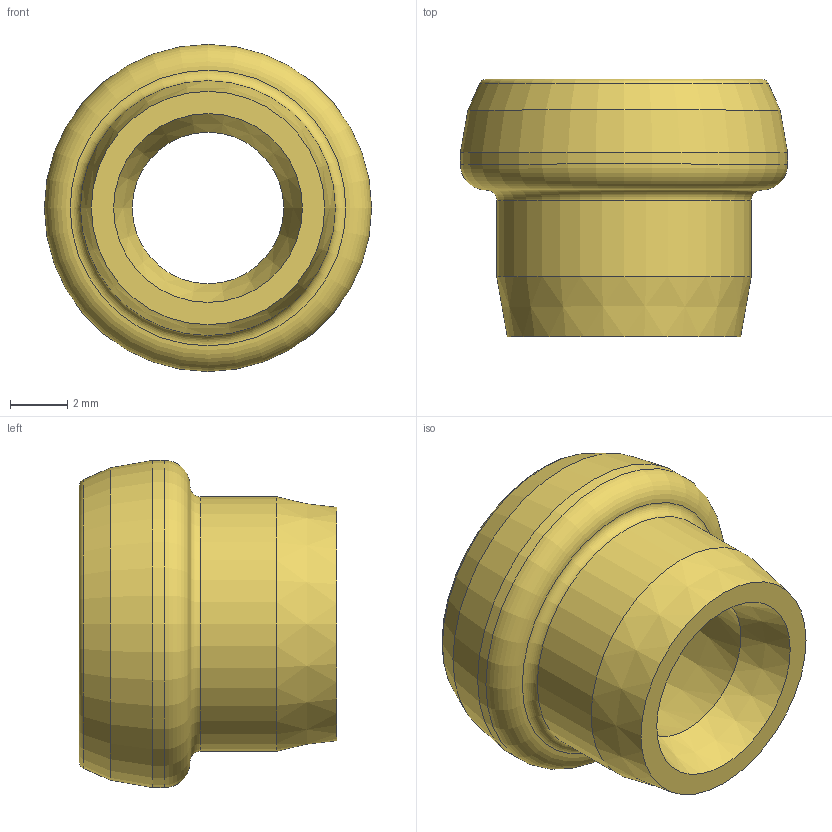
import cadquery as cq
import math


length = 9.0
flange_radius = 11.44 / 2

spigot_radius = 8.9 / 2
tip_taper_length = 2.1
tip_taper_angle = 10.0

shoulder_radius = 9.64 / 2
shoulder_position = 5.13
rim_width = 0.41
root_mid_angle = 135.0
rim_mid_angle = -45.0

first_taper_length = 1.48
first_taper_angle = 10.0
second_taper_angle = 24.0
back_edge_fillet = 0.25

throat_radius = 5.3 / 2
inlet_radius = 6.6 / 2
inlet_half_angle = 20.0
sealing_cone_radius = 8.3 / 2


def taper(axial_length, angle):
    """Change of radius along a cone of the given half angle in degrees."""
    return axial_length * math.tan(math.radians(angle))


def arc_midpoint(center, radius, angle):
    """Point on a circle in the (radius, axial) half plane, angle in degrees."""
    return (
        center[0] + radius * math.cos(math.radians(angle)),
        center[1] + radius * math.sin(math.radians(angle)),
    )


tip_radius = spigot_radius - taper(tip_taper_length, tip_taper_angle)
root_fillet = shoulder_radius - spigot_radius
rim_fillet = flange_radius - shoulder_radius
root_center = (shoulder_radius, shoulder_position - root_fillet)
shoulder_point = (shoulder_radius, shoulder_position)
rim_center = (shoulder_radius, shoulder_position + rim_fillet)
rim_end = rim_center[1] + rim_width
first_taper_end = rim_end + first_taper_length
first_taper_radius = flange_radius - taper(first_taper_length, first_taper_angle)
back_radius = first_taper_radius - taper(length - first_taper_end, second_taper_angle)
inlet_depth = (inlet_radius - throat_radius) / math.tan(math.radians(inlet_half_angle))


def make_body():
    """Outer shape, revolved from its half profile, with the back edge rounded."""
    profile = (
        cq.Workplane("XY")
        .lineTo(tip_radius, 0)
        .lineTo(spigot_radius, tip_taper_length)
        .lineTo(spigot_radius, root_center[1])
        .threePointArc(arc_midpoint(root_center, root_fillet, root_mid_angle), shoulder_point)
        .threePointArc(arc_midpoint(rim_center, rim_fillet, rim_mid_angle), (flange_radius, rim_center[1]))
        .lineTo(flange_radius, rim_end)
        .lineTo(first_taper_radius, first_taper_end)
        .lineTo(back_radius, length)
        .lineTo(0, length)
        .close()
    )
    body = profile.revolve(360, (0, 0), (0, 1))
    return body.faces(">Y").edges().fillet(back_edge_fillet)


def make_bore():
    """Through bore narrowing from both ends to the throat."""
    profile = (
        cq.Workplane("XY")
        .lineTo(inlet_radius, 0)
        .lineTo(throat_radius, inlet_depth)
        .lineTo(sealing_cone_radius, length)
        .lineTo(0, length)
        .close()
    )
    return profile.revolve(360, (0, 0), (0, 1))


result = make_body().cut(make_bore())